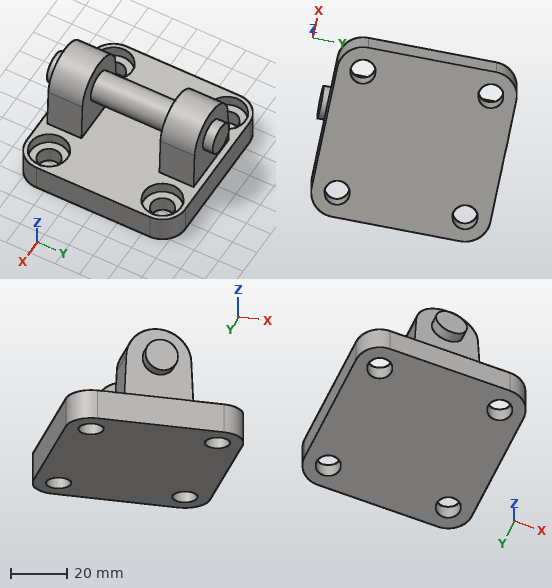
import cadquery as cq
import math

plate_side = 65.0
plate_height = 11.0
corner_radius = 9.25

hole_diameter = 9.0
counterbore_diameter = 15.0
counterbore_depth = 4.5
hole_spacing = plate_side - 2 * corner_radius

overall_height = 39.0

lug_radius = 12.0
lug_base_width = 25.4
lug_thickness = 14.0
lug_center_offset = 23.0

pin_diameter = 12.0
pin_length = 68.0
pin_height = overall_height - lug_radius


def make_plate():
    """Rounded square plate with a counterbored hole in each corner."""
    plate = (
        cq.Workplane("XY")
        .rect(plate_side, plate_side)
        .extrude(plate_height)
        .edges("|Z")
        .fillet(corner_radius)
    )
    return (
        plate.faces(">Z")
        .workplane()
        .rect(hole_spacing, hole_spacing, forConstruction=True)
        .vertices()
        .cboreHole(hole_diameter, counterbore_diameter, counterbore_depth)
    )


def make_lug(center_y):
    """Lug whose straight flanks run tangent into its round top."""
    half_base = lug_base_width / 2
    rise = pin_height - plate_height
    corner_distance = math.hypot(half_base, rise)
    tangent_angle = math.acos(lug_radius / corner_distance) - math.atan2(rise, half_base)
    tangent_x = lug_radius * math.cos(tangent_angle)
    tangent_z = pin_height + lug_radius * math.sin(tangent_angle)
    return (
        cq.Workplane("XZ", origin=(0, center_y, 0))
        .moveTo(-half_base, plate_height)
        .lineTo(half_base, plate_height)
        .lineTo(tangent_x, tangent_z)
        .threePointArc((0, pin_height + lug_radius), (-tangent_x, tangent_z))
        .close()
        .extrude(lug_thickness / 2, both=True)
    )


def make_pin():
    """Round pin passing through both lugs."""
    return (
        cq.Workplane("XZ", origin=(0, 0, pin_height))
        .circle(pin_diameter / 2)
        .extrude(pin_length / 2, both=True)
    )


result = make_plate()
for side in (-1, 1):
    result = result.union(make_lug(side * lug_center_offset))
result = result.union(make_pin())